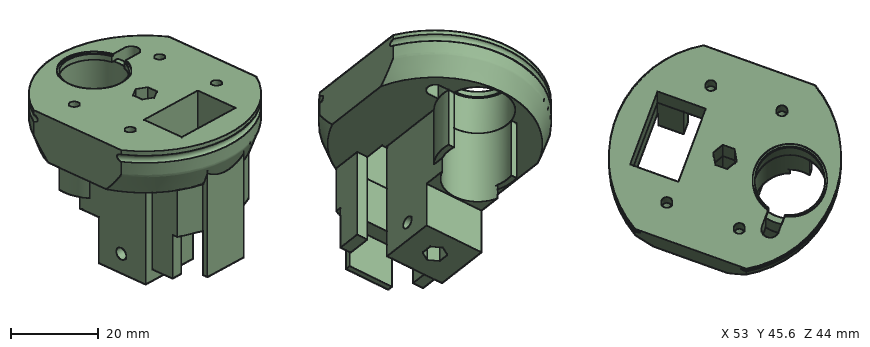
import cadquery as cq
import math


disc_radius = 26.5
base_height = 12.1
flat_distance = 22.8
cone_height = 5.5
cone_bottom_radius = 24.5
rim_blend_radius = 2.0
groove_center_z = base_height - 2.1
groove_half_width = 0.95
groove_depth = 0.65

bore_x = -15.75
bore_radius = 17.0 / 2
lip_radius = 8.0
lip_recess_depth = 0.4
lip_bottom_z = base_height - 1.9

cradle_outer_radius = 10.0
notch_width = 4.05
notch_x = -15.5
notch_end_y = 14.25

window_x_min = 8.0
window_x_max = 19.7
window_half_width = 9.05

screw_diameter = 2.55
screw_depth = 6.35
drill_point_angle = 118.0
screw_points = [(-8.8, 14.5), (8.8, 14.5), (-8.5, -14.6), (8.75, -14.5)]

hex_across_flats = 5.0
hex_across_corners = hex_across_flats / math.cos(math.radians(30))

stem_x_min = -7.0
stem_x_max = 7.5
stem_half_width = 8.0
stem_bottom_z = -31.9
saddle_bottom_z = -19.8
cradle_bottom_z = -15.9
cradle_x_min = -17.5
cross_hole_diameter = 3.1
cross_hole_z = -26.7

bracket_x_min = 13.35
bracket_half_width = 12.05
bracket_bottom_z = -23.95
corner_x = 21.1
tongue_x_min = 23.55
tongue_x_max = 24.95
tongue_half_width = 6.15
tongue_top_z = 4.05
slot_x_min = 19.55
slot_top_z = -12.4


def box(x_min, x_max, half_width, z_min, z_max):
    """Box between the given X and Z limits, symmetric about Y = 0."""
    return (
        cq.Workplane("XY", origin=((x_min + x_max) / 2, 0, z_min))
        .box(x_max - x_min, 2 * half_width, z_max - z_min, centered=(True, True, False))
    )


def bore_cylinder(radius, z_min, z_max):
    """Cylinder on the bore axis."""
    return cq.Workplane("XY", origin=(bore_x, 0, z_min)).circle(radius).extrude(z_max - z_min)


def hex_prism():
    """Hexagonal prism on the Z axis, long enough for the base plate and the stem."""
    return (
        cq.Workplane("XY", origin=(0, 0, stem_bottom_z))
        .polygon(6, hex_across_corners)
        .extrude(base_height - stem_bottom_z)
    )


def make_disc():
    """Revolved disc, softened where cone and rim meet, then trimmed by the two flats."""
    cone_tilt = math.atan2(disc_radius - cone_bottom_radius, cone_height)
    blend_length = rim_blend_radius * math.tan(cone_tilt / 2)
    blend_start = (
        disc_radius - blend_length * math.sin(cone_tilt),
        cone_height - blend_length * math.cos(cone_tilt),
    )
    blend_middle = (
        disc_radius - rim_blend_radius * (1 - math.cos(cone_tilt / 2)),
        cone_height + blend_length - rim_blend_radius * math.sin(cone_tilt / 2),
    )
    profile = (
        cq.Workplane("XZ")
        .moveTo(0, 0)
        .lineTo(cone_bottom_radius, 0)
        .lineTo(*blend_start)
        .threePointArc(blend_middle, (disc_radius, cone_height + blend_length))
        .lineTo(disc_radius, groove_center_z - groove_half_width)
        .threePointArc(
            (disc_radius - groove_depth, groove_center_z),
            (disc_radius, groove_center_z + groove_half_width),
        )
        .lineTo(disc_radius, base_height)
        .lineTo(0, base_height)
        .close()
    )
    disc = profile.revolve(360, (0, 0, 0), (0, 1, 0))
    return disc.intersect(box(-disc_radius, disc_radius, flat_distance, 0, base_height))


def bore_cut():
    """Bore below the lip, lip opening and shallow recess above the lip."""
    return (
        bore_cylinder(bore_radius, 0, lip_bottom_z)
        .union(bore_cylinder(lip_radius, 0, base_height))
        .union(bore_cylinder(bore_radius, base_height - lip_recess_depth, base_height))
    )


def notch_cut():
    """Round-ended notch, through the plate except over the ledge around the bore."""
    notch_radius = notch_width / 2
    arc_center_y = notch_end_y - notch_radius
    notch = (
        cq.Workplane("XY")
        .moveTo(notch_x - notch_radius, 0)
        .lineTo(notch_x - notch_radius, arc_center_y)
        .threePointArc((notch_x, notch_end_y), (notch_x + notch_radius, arc_center_y))
        .lineTo(notch_x + notch_radius, 0)
        .close()
        .extrude(base_height)
    )
    return notch.cut(bore_cylinder(cradle_outer_radius, 0, lip_bottom_z))


def screw_hole_cut():
    """One blind screw hole on the Z axis, ending in a cone as wide as the hole."""
    radius = screw_diameter / 2
    shoulder_z = base_height - screw_depth
    point_depth = radius / math.tan(math.radians(drill_point_angle / 2))
    return (
        cq.Workplane("XZ")
        .moveTo(0, base_height)
        .lineTo(radius, base_height)
        .lineTo(radius, shoulder_z)
        .lineTo(0, shoulder_z - point_depth)
        .close()
        .revolve(360, (0, 0, 0), (0, 1, 0))
    )


def tongue_block(z_min, z_max):
    """Outer tongue of the bracket between two heights."""
    return box(tongue_x_min, tongue_x_max, tongue_half_width, z_min, z_max)


def make_base():
    base = make_disc().cut(bore_cut()).cut(notch_cut()).cut(hex_prism())
    base = base.cut(box(window_x_min, window_x_max, window_half_width, 0, base_height))
    for x, y in screw_points:
        base = base.cut(screw_hole_cut().translate((x, y, 0)))
    return base.cut(tongue_block(0, tongue_top_z))


def make_stem():
    post = box(stem_x_min, stem_x_max, stem_half_width, stem_bottom_z, 0)
    saddle = box(bore_x, stem_x_max, stem_half_width, saddle_bottom_z, 0)
    cradle = bore_cylinder(cradle_outer_radius, cradle_bottom_z, 0)
    cradle = cradle.intersect(box(cradle_x_min, stem_x_max, cradle_outer_radius, cradle_bottom_z, 0))
    stem = post.union(saddle).union(cradle)
    stem = stem.cut(bore_cylinder(bore_radius, saddle_bottom_z, 0))
    cross_hole = (
        cq.Workplane("XZ", origin=(0, 0, cross_hole_z))
        .circle(cross_hole_diameter / 2)
        .extrude(stem_half_width, both=True)
    )
    return stem.cut(cross_hole).cut(hex_prism())


def make_bracket():
    bracket = (
        cq.Workplane("XY", origin=(0, 0, bracket_bottom_z))
        .moveTo(bracket_x_min, -bracket_half_width)
        .lineTo(corner_x, -bracket_half_width)
        .lineTo(tongue_x_min, -tongue_half_width)
        .lineTo(tongue_x_max, -tongue_half_width)
        .lineTo(tongue_x_max, tongue_half_width)
        .lineTo(tongue_x_min, tongue_half_width)
        .lineTo(corner_x, bracket_half_width)
        .lineTo(bracket_x_min, bracket_half_width)
        .close()
        .extrude(-bracket_bottom_z)
    )
    window = box(window_x_min, window_x_max, window_half_width, bracket_bottom_z, 0)
    slot = box(slot_x_min, tongue_x_min, bracket_half_width, bracket_bottom_z, slot_top_z)
    return bracket.cut(window).cut(slot).union(tongue_block(0, tongue_top_z))


base = make_base()
stem = make_stem()
bracket = make_bracket()

result = cq.Compound.makeCompound([base.solids().val(), stem.solids().val(), bracket.solids().val()])